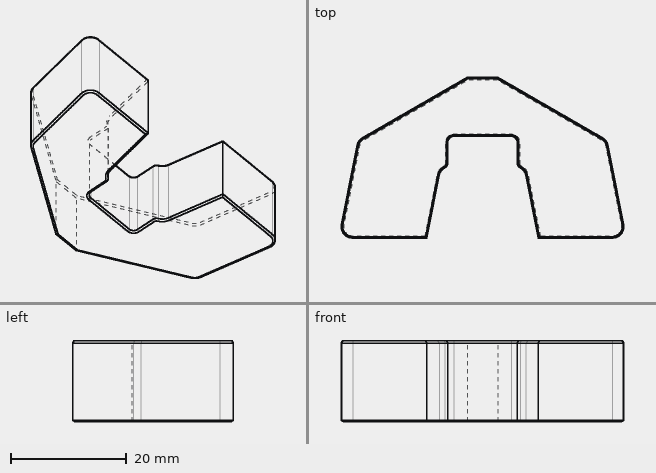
import cadquery as cq
import math

WIDTH = 48.85
DEPTH = 27.8
HEIGHT = 14.0

FLARE_ANGLE = math.radians(11.2)
PITCH_ANGLE = math.radians(30.0)
RIDGE_HALF_WIDTH = 2.6
CORNER_RADIUS = 2.0

POCKET_HALF_WIDTH = 6.0
POCKET_END_Y = 17.6
POCKET_CORNER_RADIUS = 1.0
MOUTH_HALF_WIDTH = 9.65
LIP_RADIUS = 1.0
LIP_START_Y = 13.05
HOLLOW_RADIUS = 2.0

BEVEL_LONG = 0.4
BEVEL_SHORT = BEVEL_LONG * math.tan(math.radians(30.0))

FLARE = math.tan(FLARE_ANGLE)
PITCH = math.tan(PITCH_ANGLE)


def make_body():
    """Extrude the outer outline and round its four side corners."""
    round_reach = CORNER_RADIUS * math.tan((math.pi / 2 + FLARE_ANGLE) / 2)
    front_x = WIDTH / 2 - CORNER_RADIUS + round_reach

    ridge_drop = PITCH * (front_x - RIDGE_HALF_WIDTH)
    side_y = (DEPTH - ridge_drop) / (1 - PITCH * FLARE)
    side_x = front_x - FLARE * side_y

    body = (
        cq.Workplane("XY")
        .polyline([
            (-front_x, 0),
            (front_x, 0),
            (side_x, side_y),
            (RIDGE_HALF_WIDTH, DEPTH),
            (-RIDGE_HALF_WIDTH, DEPTH),
            (-side_x, side_y),
        ])
        .close()
        .extrude(HEIGHT)
    )
    side_corners = body.edges("|Z").edges("not >Y")
    return side_corners.fillet(CORNER_RADIUS)


def hollow_center():
    """Center of the hollow that touches both the lip and the mouth side, on +X."""
    lip_x = POCKET_HALF_WIDTH + LIP_RADIUS
    reach = LIP_RADIUS + HOLLOW_RADIUS
    track_x = MOUTH_HALF_WIDTH - HOLLOW_RADIUS / math.cos(FLARE_ANGLE)
    a = 1 + FLARE**2
    b = FLARE * (track_x - lip_x) + LIP_START_Y
    c = (track_x - lip_x) ** 2 + LIP_START_Y**2 - reach**2
    y = (b - math.sqrt(b**2 - a * c)) / a
    return track_x - FLARE * y, y


def on_circle(center, radius, angle):
    """Point on a circle at an angle measured from +X."""
    return (
        center[0] + radius * math.cos(angle),
        center[1] + radius * math.sin(angle),
    )


def mirrored(point):
    """The same point on the -X side."""
    return -point[0], point[1]


def make_slot():
    """Solid that fills the slot, symmetric about X = 0."""
    lip = (POCKET_HALF_WIDTH + LIP_RADIUS, LIP_START_Y)
    hollow = hollow_center()
    meet_angle = math.atan2(lip[1] - hollow[1], lip[0] - hollow[0])
    lip_mid_angle = math.pi + meet_angle / 2
    hollow_mid_angle = (FLARE_ANGLE + meet_angle) / 2

    mouth = (MOUTH_HALF_WIDTH, 0)
    hollow_start = on_circle(hollow, HOLLOW_RADIUS, FLARE_ANGLE)
    hollow_mid = on_circle(hollow, HOLLOW_RADIUS, hollow_mid_angle)
    meet = on_circle(hollow, HOLLOW_RADIUS, meet_angle)
    lip_mid = on_circle(lip, LIP_RADIUS, lip_mid_angle)
    lip_end = (POCKET_HALF_WIDTH, LIP_START_Y)
    pocket_corner = (POCKET_HALF_WIDTH, POCKET_END_Y)

    slot = (
        cq.Workplane("XY")
        .moveTo(*mouth)
        .lineTo(*hollow_start)
        .threePointArc(hollow_mid, meet)
        .threePointArc(lip_mid, lip_end)
        .lineTo(*pocket_corner)
        .lineTo(*mirrored(pocket_corner))
        .lineTo(*mirrored(lip_end))
        .threePointArc(mirrored(lip_mid), mirrored(meet))
        .threePointArc(mirrored(hollow_mid), mirrored(hollow_start))
        .lineTo(*mirrored(mouth))
        .close()
        .extrude(HEIGHT)
    )
    return slot.edges("|Z and >Y").fillet(POCKET_CORNER_RADIUS)


def bevel_rim(part, face, inset, height):
    """Bevel the rim of a flat face: `inset` across the face, `height` along Z."""
    return part.faces(face).edges().chamfer(inset, height)


part = make_body().cut(make_slot())
part = bevel_rim(part, ">Z", BEVEL_SHORT, BEVEL_LONG)
result = bevel_rim(part, "<Z", BEVEL_LONG, BEVEL_SHORT)